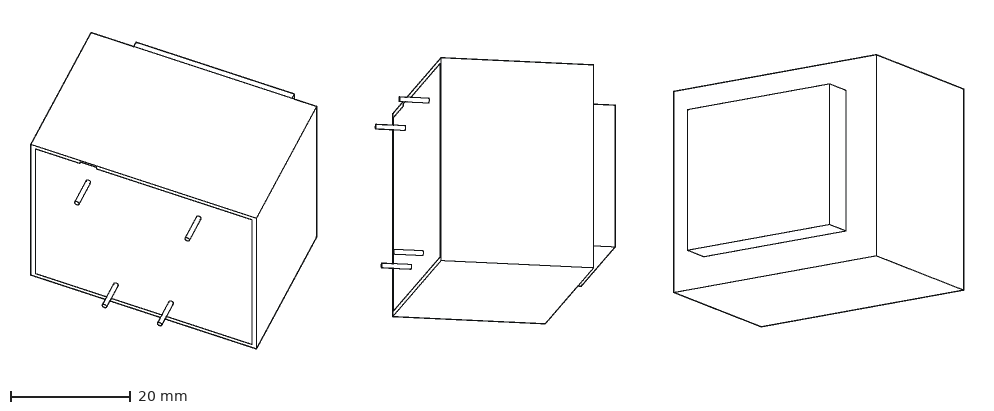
import cadquery as cq

case_width = 40.9
case_height = 34.9
case_depth = 26.0
wall = 0.8

fill_recess = 0.02

notch_width = 3.0
notch_height = 0.4

core_width = 28.7
core_height = 24.38
core_depth = 4.9

pin_diameter = 0.8
pin_reach = 5.0
upper_pin_spacing = 20.0
lower_pin_spacing = upper_pin_spacing / 2
pin_row_spacing = 25.05


def block(width, height, start_y, end_y):
    """Box centred on X and Z that runs from start_y to end_y."""
    length = end_y - start_y
    return cq.Workplane("XY").box(width, length, height).translate((0, start_y + length / 2, 0))


def pin(x, z):
    """Round pin from the fill surface to the pin tip plane."""
    base = cq.Workplane("XZ", origin=(x, fill_recess, z))
    return base.circle(pin_diameter / 2).extrude(pin_reach + fill_recess)


case = block(case_width, case_height, 0, case_depth)
core = block(core_width, core_height, case_depth, case_depth + core_depth)

opening_height = case_height - 2 * wall
opening = block(case_width - 2 * wall, opening_height, 0, fill_recess)
notch = block(notch_width, 2 * notch_height, 0, fill_recess)
notch = notch.translate((-upper_pin_spacing / 2, 0, opening_height / 2))

result = case.union(core).cut(opening).cut(notch)

for spacing, z in ((upper_pin_spacing, pin_row_spacing / 2), (lower_pin_spacing, -pin_row_spacing / 2)):
    for side in (-1, 1):
        result = result.union(pin(side * spacing / 2, z))